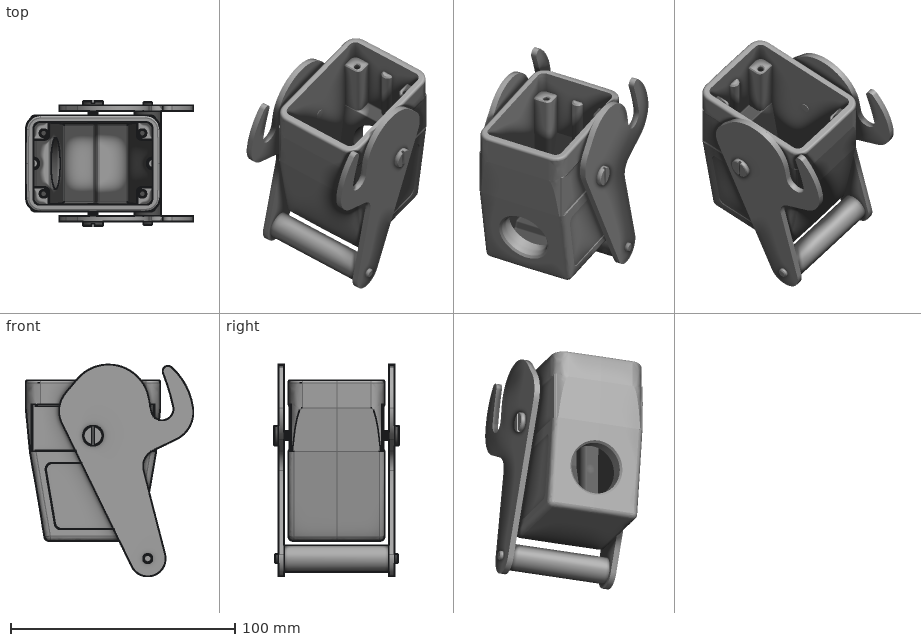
import cadquery as cq
import math


HOOD_HEIGHT = 71.8
HOOD_HALF_WIDTH = 21.5
MOUTH_HALF_LENGTH = 29.85
WAIST_HALF_LENGTH = 28.0
BASE_HALF_LENGTH = 21.2
WAIST_Z = 40.0
TAPER_START_Z = 59.5
END_CROWN = 0.2
MOUTH_CORNER_RADIUS = 6.3
BASE_CORNER_RADIUS = 2.5
BOTTOM_EDGE_RADIUS = 2.4
RIM_RADIUS = 1.2

UPPER_PANEL_HALF_LENGTH = 27.5
UPPER_PANEL_TOP_Z = 61.1
UPPER_PANEL_DEPTH = 0.4
UPPER_PANEL_TOP_BEVEL = 0.9
UPPER_PANEL_LOW_BEVEL = 0.6
LABEL_TOP_Z = 35.0
LABEL_LOW_Z = 5.2
LABEL_MARGIN = 5.4
LABEL_DEPTH = 0.3
LABEL_BEVEL_ANGLE = 45
LABEL_CORNER_RADIUS = 3.0

CAVITY_HALF_LENGTH = 26.6
CAVITY_HALF_WIDTH = 18.5
CAVITY_CORNER_RADIUS = 3.0
CAVITY_DRAFT = 0.65
FLOOR_Z = 3.0
RAISED_FLOOR_Z = 6.0
STEP_FOOT_X = 0.6
STEP_TOP_X = 2.0
FLOOR_ENTRY_END_X = -13.4
FLOOR_FAR_END_X = 15.7
SHELF_Z = 36.0
SHELF_EDGE_X = -19.3
FAR_WALL_TOP_Z = 46.0
FLOOR_EDGE_RADIUS = 0.8
SHELF_EDGE_RADIUS = 0.6

POST_TOP_Z = 62.0
POST_INNER_X = 19.4
POST_INNER_Y = 10.4
POST_CORNER_RADIUS = 2.5
POST_TOP_CHAMFER = 0.5
POST_HOLE_X = 22.0
POST_HOLE_Y = 13.5
POST_HOLE_RADIUS = 1.4
POST_HOLE_CHAMFER = 0.45
POST_HOLE_DEPTH = 12.0
RIB_RADIUS = 2.7
RIB_CHAMFER = 0.7

ENTRY_Z = 19.9
ENTRY_MOUTH_RADIUS = 12.5
ENTRY_RADIUS = 11.5
ENTRY_DEPTH = 14.0

PLATE_INNER_Y = 23.3
PLATE_OUTER_Y = 25.95
PIVOT_Z = 47.0
HANDLE_X = 24.4
HANDLE_Z = -7.75
HANDLE_RADIUS = 6.0
PIN_RADIUS = 2.1
PIN_END_Y = 27.5
PIN_CHAMFER = 0.5

CROWN = (6.9, 60.55, 18.2)
THROAT = (30.8, 58.9, -5.0)
TIP = (33.4, 75.75, 2.4)
ELBOW = (31.26, 57.5, 13.5)
NECK = (29.9, 33.4, -7.6)
HANDLE_END = (HANDLE_X, HANDLE_Z, 8.0)
SHOULDER = (-2.5, 58.0, 12.6)
HOOK_FRONT_RADIUS = -100.0
HOOK_BACK_RADIUS = 30.0

SCREW_HEAD_RADIUS = 4.5
SCREW_HEAD_END_Y = 28.0
SCREW_HEAD_CHAMFER = 0.4
SCREW_SLOT_WIDTH = 1.3
SCREW_SLOT_DEPTH = 1.1
SCREW_RADIUS = 2.1
SCREW_CORE_RADIUS = 1.6
SCREW_TIP_Y = 18.0
THREAD_PITCH = 0.7

OVERLAP = 1.0
FAR = 100.0


def end_wall_x(z):
    """Half-length of the lower hood at height z."""
    return BASE_HALF_LENGTH + (WAIST_HALF_LENGTH - BASE_HALF_LENGTH) * z / WAIST_Z


def both_sides(shape):
    """The shape together with its mirror image across the XZ plane."""
    return shape.union(shape.mirror("XZ"))


def four_corners(shape):
    """The shape mirrored into all four quadrants of the XY plane."""
    pair = both_sides(shape)
    return pair.union(pair.mirror("YZ"))


def y_cylinder(x, z, radius, y_start, y_end):
    return (
        cq.Workplane("XZ", origin=(x, y_start, z)).circle(radius).extrude(y_start - y_end)
    )


def crowned_block(low_half, high_half, z_low, z_high):
    """Block between two rectangles whose ends rise to a crease at Y = 0."""

    def corners(half):
        return [
            (half, -HOOD_HALF_WIDTH),
            (half + END_CROWN, 0),
            (half, HOOD_HALF_WIDTH),
            (-half, HOOD_HALF_WIDTH),
            (-half - END_CROWN, 0),
            (-half, -HOOD_HALF_WIDTH),
        ]

    return (
        cq.Workplane("XY", origin=(0, 0, z_low))
        .polyline(corners(low_half)).close()
        .workplane(offset=z_high - z_low)
        .polyline(corners(high_half)).close()
        .loft(ruled=True, combine=True)
    )


def hood_shell():
    """Solid hood: a tapered lower half under a round-cornered mouth."""
    lower = crowned_block(BASE_HALF_LENGTH, WAIST_HALF_LENGTH, 0, WAIST_Z)
    lower = lower.faces("<Y or >Y").edges("not |X").fillet(BASE_CORNER_RADIUS)
    lower = lower.faces("<Z").edges().fillet(BOTTOM_EDGE_RADIUS)

    tapered = crowned_block(WAIST_HALF_LENGTH, MOUTH_HALF_LENGTH, WAIST_Z, TAPER_START_Z)
    upright = crowned_block(MOUTH_HALF_LENGTH, MOUTH_HALF_LENGTH, TAPER_START_Z, HOOD_HEIGHT)
    rounded = crowned_block(MOUTH_HALF_LENGTH, MOUTH_HALF_LENGTH, WAIST_Z, HOOD_HEIGHT)
    rounded = rounded.faces("<Y or >Y").edges("not |X").fillet(MOUTH_CORNER_RADIUS)
    rounded = rounded.faces(">Z").edges().fillet(RIM_RADIUS)
    upper = rounded.intersect(tapered.union(upright))
    return lower.union(upper)


def upper_panel_pad():
    """Fills the rounded mouth corners out to the ends of the upper side panel."""
    floor_y = HOOD_HALF_WIDTH - UPPER_PANEL_DEPTH
    return (
        cq.Workplane("XY", origin=(0, 0, WAIST_Z))
        .rect(2 * UPPER_PANEL_HALF_LENGTH, 2 * floor_y)
        .extrude(UPPER_PANEL_TOP_Z - WAIST_Z)
        .edges("|Z").chamfer(UPPER_PANEL_LOW_BEVEL)
    )


def upper_panel_recess():
    """Shallow recess on the -Y side, bevelled along its top and bottom."""
    floor_y = -HOOD_HALF_WIDTH + UPPER_PANEL_DEPTH
    outline = [
        (-HOOD_HALF_WIDTH, WAIST_Z),
        (floor_y, WAIST_Z + UPPER_PANEL_LOW_BEVEL),
        (floor_y, UPPER_PANEL_TOP_Z - UPPER_PANEL_TOP_BEVEL),
        (-HOOD_HALF_WIDTH, UPPER_PANEL_TOP_Z),
    ]
    return (
        cq.Workplane("YZ").polyline(outline).close()
        .extrude(UPPER_PANEL_HALF_LENGTH, both=True)
    )


def label_recess():
    """Shallow trapezoid recess on the -Y side, parallel to the sloping end walls."""
    top_half = end_wall_x(LABEL_TOP_Z) - LABEL_MARGIN
    low_half = end_wall_x(LABEL_LOW_Z) - LABEL_MARGIN
    outline = [
        (-top_half, LABEL_TOP_Z),
        (top_half, LABEL_TOP_Z),
        (low_half, LABEL_LOW_Z),
        (-low_half, LABEL_LOW_Z),
    ]
    return (
        cq.Workplane("XZ", origin=(0, -HOOD_HALF_WIDTH, 0))
        .sketch().polygon(outline + outline[:1]).vertices().fillet(LABEL_CORNER_RADIUS).finalize()
        .extrude(-LABEL_DEPTH, taper=LABEL_BEVEL_ANGLE)
    )


def post():
    """Corner post in the +X +Y corner, backing into the walls."""
    length = CAVITY_HALF_LENGTH + POST_CORNER_RADIUS - POST_INNER_X
    width = CAVITY_HALF_WIDTH + POST_CORNER_RADIUS - POST_INNER_Y
    return (
        cq.Workplane("XY", origin=(POST_INNER_X, POST_INNER_Y, 0))
        .rect(length, width, centered=False).extrude(POST_TOP_Z)
        .edges("|Z").fillet(POST_CORNER_RADIUS)
        .faces(">Z").edges().chamfer(POST_TOP_CHAMFER)
    )


def end_rib():
    """Half-round rib standing on the +X end wall."""
    return (
        cq.Workplane("XY", origin=(CAVITY_HALF_LENGTH, 0, 0))
        .circle(RIB_RADIUS).extrude(POST_TOP_Z)
        .faces(">Z").edges().chamfer(RIB_CHAMFER)
    )


def cavity():
    """Open space inside the hood, with the posts and ribs left standing."""
    wall_x = CAVITY_HALF_LENGTH + OVERLAP
    profile = [
        (-wall_x, HOOD_HEIGHT),
        (-wall_x, SHELF_Z),
        (SHELF_EDGE_X, SHELF_Z),
        (FLOOR_ENTRY_END_X, FLOOR_Z),
        (STEP_FOOT_X, FLOOR_Z),
        (STEP_TOP_X, RAISED_FLOOR_Z),
        (FLOOR_FAR_END_X, RAISED_FLOOR_Z),
        (wall_x, FAR_WALL_TOP_Z),
        (wall_x, HOOD_HEIGHT),
    ]
    drafted = (
        cq.Workplane("XY", origin=(0, 0, HOOD_HEIGHT))
        .rect(2 * CAVITY_HALF_LENGTH, 2 * CAVITY_HALF_WIDTH)
        .extrude(-HOOD_HEIGHT, taper=CAVITY_DRAFT)
        .edges("not #Z").fillet(CAVITY_CORNER_RADIUS)
    )
    space = (
        cq.Workplane("XZ").polyline(profile).close().extrude(CAVITY_HALF_WIDTH, both=True)
        .intersect(drafted)
    )
    floor_zone = cq.selectors.BoxSelector(
        (-FAR, -FAR, 0), (FAR, FAR, RAISED_FLOOR_Z + OVERLAP)
    )
    space = space.edges(floor_zone).fillet(FLOOR_EDGE_RADIUS)
    shelf_zone = cq.selectors.BoxSelector(
        (-FAR, -FAR, SHELF_Z - OVERLAP), (SHELF_EDGE_X + OVERLAP, FAR, SHELF_Z + OVERLAP)
    )
    space = space.edges(shelf_zone).fillet(SHELF_EDGE_RADIUS)
    rib = end_rib()
    return space.cut(four_corners(post())).cut(rib.union(rib.mirror("YZ")))


def post_hole():
    """Chamfered blind screw hole in the +X +Y post."""
    mouth_radius = POST_HOLE_RADIUS + POST_HOLE_CHAMFER
    profile = [
        (0, 0),
        (mouth_radius, 0),
        (POST_HOLE_RADIUS, -POST_HOLE_CHAMFER),
        (POST_HOLE_RADIUS, -POST_HOLE_DEPTH),
        (0, -POST_HOLE_DEPTH),
    ]
    return (
        cq.Workplane("XZ").polyline(profile).close().revolve(360, (0, 0), (0, 1))
        .translate((POST_HOLE_X, POST_HOLE_Y, POST_TOP_Z))
    )


def cable_entry():
    """Bore square to the sloping -X end wall, with a conical lead-in."""
    tilt = math.atan2(WAIST_HALF_LENGTH - BASE_HALF_LENGTH, WAIST_Z)
    lead_in = ENTRY_MOUTH_RADIUS - ENTRY_RADIUS
    profile = [
        (-OVERLAP, 0),
        (-OVERLAP, ENTRY_MOUTH_RADIUS),
        (0, ENTRY_MOUTH_RADIUS),
        (lead_in, ENTRY_RADIUS),
        (ENTRY_DEPTH, ENTRY_RADIUS),
        (ENTRY_DEPTH, 0),
    ]
    bore = cq.Workplane("XZ").polyline(profile).close().revolve(360, (0, 0), (1, 0))
    return (
        bore.rotate((0, 0, 0), (0, 1, 0), -math.degrees(tilt))
        .translate((-end_wall_x(ENTRY_Z) - END_CROWN, 0, ENTRY_Z))
    )


def touching_disc(first, second, radius):
    """Disc of the given signed radius that blends from the first disc to the second."""
    x1, z1, r1 = first
    x2, z2, r2 = second
    reach1 = abs(radius - r1)
    reach2 = abs(radius - r2)
    gap = math.hypot(x2 - x1, z2 - z1)
    along = (reach1 ** 2 - reach2 ** 2 + gap ** 2) / (2 * gap)
    aside = math.sqrt(reach1 ** 2 - along ** 2) * math.copysign(1, radius)
    ux = (x2 - x1) / gap
    uz = (z2 - z1) / gap
    return x1 + along * ux + aside * uz, z1 + along * uz - aside * ux, radius


def tangent_angle(first, second):
    """Direction from each disc's centre to its contact with the tangent joining both."""
    x1, z1, r1 = first
    x2, z2, r2 = second
    gap = math.hypot(x2 - x1, z2 - z1)
    heading = math.atan2(z2 - z1, x2 - x1)
    return heading + math.acos(max(-1.0, min(1.0, (r1 - r2) / gap)))


def disc_point(disc, angle):
    x, z, radius = disc
    return x + radius * math.cos(angle), z + radius * math.sin(angle)


def lever_outline():
    """Clockwise chain of arcs joined by their common tangents."""
    shortest_line = 0.01
    discs = [
        CROWN,
        THROAT,
        touching_disc(THROAT, TIP, HOOK_FRONT_RADIUS),
        TIP,
        touching_disc(TIP, ELBOW, HOOK_BACK_RADIUS),
        ELBOW,
        NECK,
        HANDLE_END,
        SHOULDER,
    ]
    angles = [tangent_angle(disc, discs[(i + 1) % len(discs)]) for i, disc in enumerate(discs)]
    position = disc_point(CROWN, angles[-1])
    outline = cq.Workplane("XZ").moveTo(*position)
    for i, disc in enumerate(discs):
        turn = math.copysign(1, disc[2])
        sweep = turn * (angles[i - 1] - angles[i]) % (2 * math.pi)
        start = disc_point(disc, angles[i - 1])
        if math.dist(position, start) > shortest_line:
            outline = outline.lineTo(*start)
        position = disc_point(disc, angles[i])
        outline = outline.threePointArc(
            disc_point(disc, angles[i - 1] - turn * sweep / 2), position
        )
    return outline.close()


def lever_plate():
    """Lever plate on the -Y side."""
    return (
        lever_outline().extrude(PLATE_OUTER_Y - PLATE_INNER_Y)
        .translate((0, -PLATE_INNER_Y, 0))
    )


def handle():
    """Grip roller between the plates and the pin that carries it."""
    roller = y_cylinder(HANDLE_X, HANDLE_Z, HANDLE_RADIUS, -PLATE_INNER_Y, PLATE_INNER_Y)
    pin = y_cylinder(HANDLE_X, HANDLE_Z, PIN_RADIUS, -PIN_END_Y, PIN_END_Y)
    pin = pin.faces("<Y or >Y").edges().chamfer(PIN_CHAMFER)
    return roller.union(pin)


def pivot_screw():
    """Slotted screw on the -Y side, with its thread as plain rings."""
    head = y_cylinder(0, PIVOT_Z, SCREW_HEAD_RADIUS, -PLATE_OUTER_Y, -SCREW_HEAD_END_Y)
    head = head.faces("<Y").edges().chamfer(SCREW_HEAD_CHAMFER)
    slot = cq.Workplane("XY").box(
        SCREW_SLOT_WIDTH, 2 * SCREW_SLOT_DEPTH, 2 * SCREW_HEAD_RADIUS
    ).translate((0, -SCREW_HEAD_END_Y, PIVOT_Z))
    shank = y_cylinder(0, PIVOT_Z, SCREW_CORE_RADIUS, -SCREW_TIP_Y, -PLATE_OUTER_Y)
    screw = head.cut(slot).union(shank)
    y = SCREW_TIP_Y
    while y < PLATE_INNER_Y:
        screw = screw.union(y_cylinder(0, PIVOT_Z, SCREW_RADIUS, -y, -y - THREAD_PITCH / 2))
        y += THREAD_PITCH
    return screw


hood = hood_shell().union(upper_panel_pad())
hood = hood.cut(both_sides(upper_panel_recess()))
hood = hood.cut(both_sides(label_recess()))
hood = hood.cut(cavity())
hood = hood.cut(four_corners(post_hole()))
hood = hood.cut(cable_entry())

result = hood.union(both_sides(lever_plate())).union(handle()).union(both_sides(pivot_screw()))